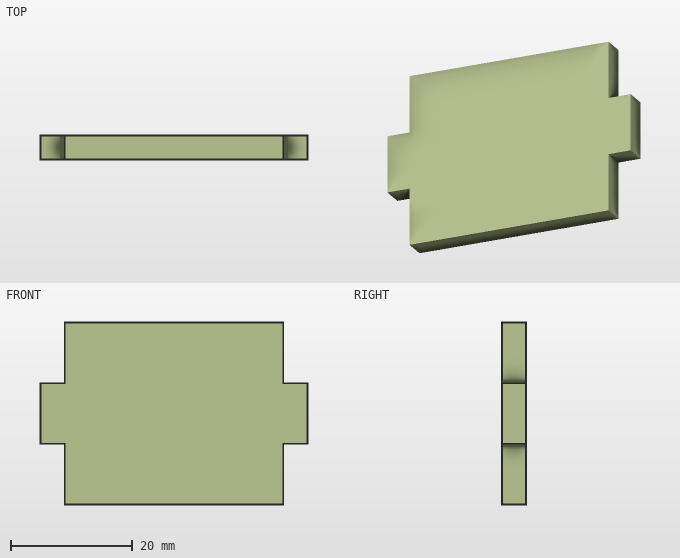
import cadquery as cq

plate_width = 36.0
plate_height = 30.0
thickness = 4.0
tab_length = 4.0
tab_height = 10.0

tab_span = plate_width + 2 * tab_length

plate = cq.Workplane("XY").box(plate_width, thickness, plate_height)
tab_bar = cq.Workplane("XY").box(tab_span, thickness, tab_height)

result = plate.union(tab_bar)